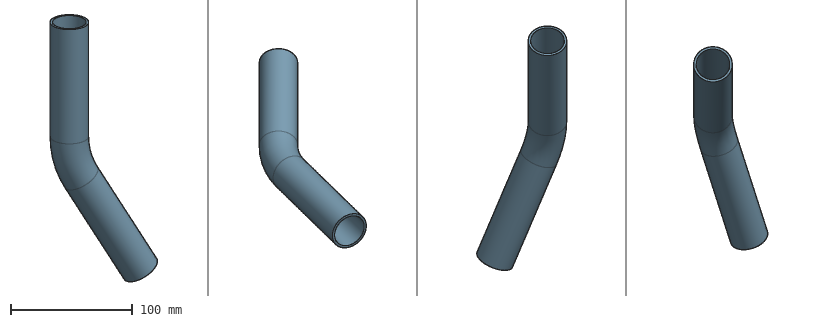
import cadquery as cq
import math

outer_diameter = 31.8
inner_diameter = 27.5
total_height = 235.6
bend_radius = 75.0
bend_angle = 30.0

bend_sine = math.sin(math.radians(bend_angle))
bend_cosine = math.cos(math.radians(bend_angle))
leg_length = (total_height - (bend_radius + outer_diameter / 2) * bend_sine) / (1 + bend_cosine)


def bend_point(angle):
    """Centreline point (Y, Z) after turning through the given angle in degrees."""
    turn = math.radians(angle)
    return bend_radius * (1 - math.cos(turn)), -bend_radius * math.sin(turn)


bend_end = bend_point(bend_angle)
lower_end = (
    bend_end[0] + leg_length * bend_sine,
    bend_end[1] - leg_length * bend_cosine,
)
centreline = (
    cq.Workplane("YZ")
    .moveTo(0, leg_length)
    .lineTo(0, 0)
    .threePointArc(bend_point(bend_angle / 2), bend_end)
    .lineTo(*lower_end)
)

result = (
    cq.Workplane("XY", origin=(0, 0, leg_length))
    .circle(outer_diameter / 2)
    .circle(inner_diameter / 2)
    .sweep(centreline)
)